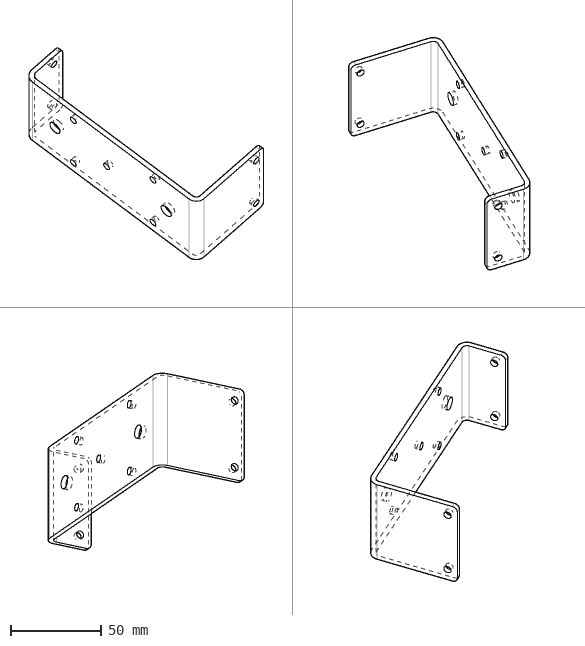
import cadquery as cq

length = 130.0
height = 55.0
long_flange = 54.5
short_flange = 28.1

thickness = 3.0
inner_bend_radius = 3.0
outer_bend_radius = inner_bend_radius + thickness
corner_radius = 3.0

small_hole = 4.3
large_hole = 7.5
hole_row_spacing = 40.0
long_flange_hole_inset = 6.0
short_flange_hole_inset = 7.0
web_pattern_width = 60.0
web_pattern_center = 1.8
middle_hole_x = -3.1
large_hole_spacing = 83.8
large_hole_center = -0.1

half_length = length / 2
row_heights = (-hole_row_spacing / 2, hole_row_spacing / 2)


def bent_channel():
    """U-shaped sheet with its web on Y = 0, standing centred on Z = 0."""
    channel = (
        cq.Workplane("XY")
        .workplane(offset=-height / 2)
        .moveTo(-half_length, short_flange)
        .lineTo(-half_length, 0)
        .lineTo(half_length, 0)
        .lineTo(half_length, long_flange)
        .lineTo(half_length - thickness, long_flange)
        .lineTo(half_length - thickness, thickness)
        .lineTo(-half_length + thickness, thickness)
        .lineTo(-half_length + thickness, short_flange)
        .close()
        .extrude(height)
    )
    inner_bends = cq.selectors.BoxSelector(
        (-half_length + thickness / 2, thickness / 2, -height),
        (half_length - thickness / 2, thickness * 1.5, height),
    )
    channel = channel.edges("|Z").edges(inner_bends).fillet(inner_bend_radius)
    return channel.edges("|Z and <Y").fillet(outer_bend_radius)


def round_flange_corners(body, outer_side):
    """Round the two free corners of the flange on the given X side."""
    flange_end = body.faces(">Y" if outer_side > 0 else cq.selectors.BoxSelector(
        (-length, short_flange - thickness / 2, -height),
        (0, short_flange + thickness / 2, height),
    ))
    return flange_end.edges("|X").fillet(corner_radius)


def web_holes(points, diameter):
    """Cutters through the web at (x, z) points."""
    return (
        cq.Workplane("XZ")
        .workplane(offset=-2 * thickness)
        .pushPoints(points)
        .circle(diameter / 2)
        .extrude(3 * thickness)
    )


def flange_holes(outer_face_x, inward, y):
    """Cutters through one flange, one per hole row."""
    return (
        cq.Workplane("YZ")
        .workplane(offset=outer_face_x)
        .pushPoints([(y, z) for z in row_heights])
        .circle(small_hole / 2)
        .extrude(inward * 2 * thickness)
    )


small_points = [
    (web_pattern_center + side * web_pattern_width / 2, z)
    for side in (-1, 1)
    for z in row_heights
]
small_points.append((middle_hole_x, 0))
large_points = [
    (large_hole_center + side * large_hole_spacing / 2, 0) for side in (-1, 1)
]

result = bent_channel()
result = round_flange_corners(result, 1)
result = round_flange_corners(result, -1)
result = result.cut(web_holes(small_points, small_hole))
result = result.cut(web_holes(large_points, large_hole))
result = result.cut(flange_holes(half_length, -1, long_flange - long_flange_hole_inset))
result = result.cut(flange_holes(-half_length, 1, short_flange - short_flange_hole_inset))